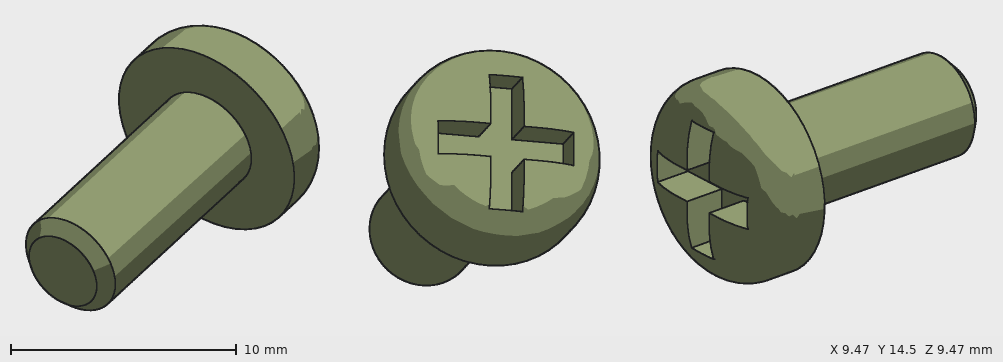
import cadquery as cq
import math


total_length = 14.48
head_diameter = 9.47
head_height = 3.35
shank_diameter = 4.83
tip_chamfer = 0.59

rim_height = 1.42
crown_edge_radius = 3.95
crown_drop = 0.56
flat_top_radius = 1.6

wing_width = 1.53
wing_span = 6.24
recess_depth = 2.0

head_radius = head_diameter / 2
shank_radius = shank_diameter / 2
shank_length = total_length - head_height


def shoulder_midpoint(crown_edge_height):
    """Middle of the shoulder arc, which leaves the straight rim tangentially."""
    width = head_radius - crown_edge_radius
    height = crown_edge_height - rim_height
    arc_radius = (width**2 + height**2) / (2 * width)
    half_angle = math.atan2(width, height)
    center_x = head_radius - arc_radius
    return (
        center_x + arc_radius * math.cos(half_angle),
        rim_height + arc_radius * math.sin(half_angle),
    )


def make_head():
    """Head revolved about Y, with the crown arc tangent to the flat top."""
    crown_edge_height = head_height - crown_drop
    profile = (
        cq.Workplane("XY")
        .moveTo(0, 0)
        .lineTo(0, head_height)
        .lineTo(flat_top_radius, head_height)
        .tangentArcPoint((crown_edge_radius, crown_edge_height), relative=False)
        .threePointArc(shoulder_midpoint(crown_edge_height), (head_radius, rim_height))
        .lineTo(head_radius, 0)
        .close()
    )
    return profile.revolve(360, (0, 0, 0), (0, 1, 0))


def make_shank():
    """Plain round shank running toward -Y, with a chamfered tip."""
    shank = cq.Workplane("XZ").circle(shank_radius).extrude(shank_length)
    return shank.faces("<Y").chamfer(tip_chamfer)


def make_cross_recess():
    """Two crossed wings sunk into the top of the head."""
    top_plane = cq.Workplane("XZ", origin=(0, head_height, 0))
    wing_along_x = top_plane.rect(wing_span, wing_width).extrude(recess_depth)
    wing_along_z = top_plane.rect(wing_width, wing_span).extrude(recess_depth)
    return wing_along_x.union(wing_along_z)


result = make_head().union(make_shank()).cut(make_cross_recess())